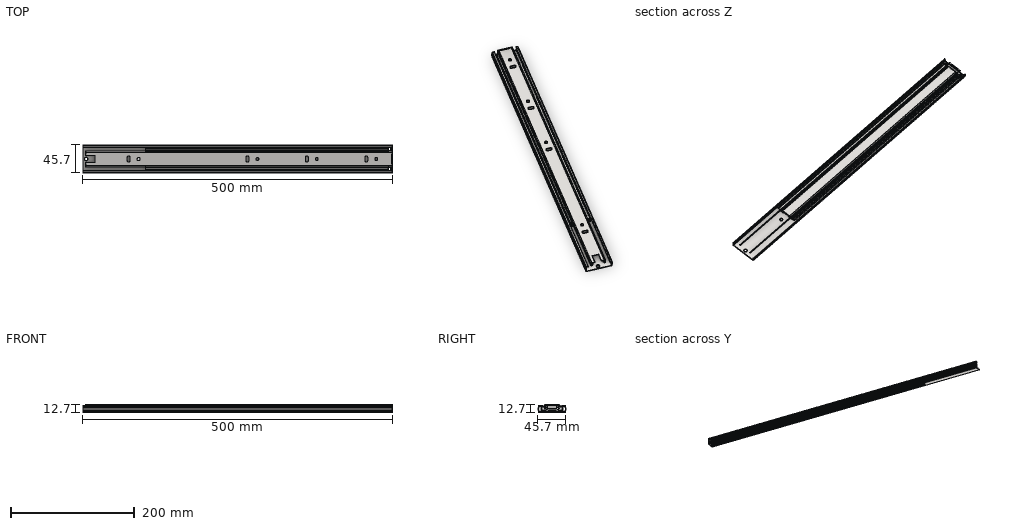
import cadquery as cq

length = 500.0
width = 45.7
height = 12.7

web_thickness = 1.2
rail_wall = 1.0
rail_half_width = 22.1
rail_height = 11.2
lip_corner_radius = 1.5
lip_inner_y = 18.3
bulge_bottom = 3.8
bulge_top = 7.2
bulge_slope = 0.5
bulge_half_width = width / 2

window_start = 492.0
window_end = 497.3
window_inner_y = 13.8
window_outer_y = lip_inner_y

middle_start = 101.5
middle_end = 493.5
middle_half_width = 18.0
middle_wall = 1.6
middle_top = 11.2
middle_lip_y = 13.3
middle_lip_top = 10.0
middle_lip_thickness = 1.0
channel_rim = 4.2
channel_foot_y = 13.4
channel_ledge = 2.8
race_y = 11.3
race_half_width = 1.2
race_bottom = 2.8
middle_web_top = 6.0
middle_web_bottom = 3.4
middle_web_half_width = 7.5
hollow_top_half_width = 5.4
hollow_bottom_half_width = 6.8

inner_start = 4.7
inner_end = length
plate_thickness = 1.2
plate_half_width = 12.4
shoulder_radius = 2.0
inner_half_width = 12.7
shoulder_z = 10.4
groove_z = 8.7
groove_half_width = 10.4
knee_z = 7.0
foot_z = 5.4
foot_half_width = 11.0
leg_thickness = 2.0
stop_half_width = 7.5
stop_bottom = 6.2

hole_diameter = 4.6
first_slot_x = 74.0
slot_pitch = 96.0
slot_steps = [0, 2, 3, 4]
slot_xs = [first_slot_x + step * slot_pitch for step in slot_steps]
slot_to_hole = 16.0
hole_points = [(x + slot_to_hole, 0) for x in slot_xs]
slot_width = 4.6
slot_length = 9.8
end_hole_x = 5.5
end_hole_diameter = 5.2
notch_length = 14.7
notch_width = 11.0


def extrude_mirrored(half_outline, start, end):
    """Extrude along X the section made of a half outline at +Y and its mirror image."""
    mirror_image = [(-y, z) for y, z in reversed(half_outline)]
    section = cq.Workplane("YZ", origin=(start, 0, 0)).polyline(half_outline + mirror_image).close()
    return section.extrude(end - start)


def round_long_corners(rail, corner_y, corner_z, radius):
    """Round the two edges that run along X at +corner_y and -corner_y."""
    for y in (corner_y, -corner_y):
        corner = cq.selectors.NearestToPointSelector((length / 2, y, corner_z))
        rail = rail.edges("|X").edges(corner).fillet(radius)
    return rail


def make_outer_rail():
    wall_inner_y = rail_half_width - rail_wall
    bulge_inner_y = bulge_half_width - rail_wall
    lip_bottom = rail_height - web_thickness
    half_outline = [
        (rail_half_width, 0),
        (rail_half_width, bulge_bottom - bulge_slope),
        (bulge_half_width, bulge_bottom),
        (bulge_half_width, bulge_top),
        (rail_half_width, bulge_top + bulge_slope),
        (rail_half_width, rail_height),
        (lip_inner_y, rail_height),
        (lip_inner_y, lip_bottom),
        (wall_inner_y, lip_bottom),
        (wall_inner_y, bulge_top + bulge_slope),
        (bulge_inner_y, bulge_top),
        (bulge_inner_y, bulge_bottom),
        (wall_inner_y, bulge_bottom - bulge_slope),
        (wall_inner_y, web_thickness),
    ]
    rail = extrude_mirrored(half_outline, 0, length)
    rail = round_long_corners(rail, rail_half_width, rail_height, lip_corner_radius)

    screw_holes = (
        cq.Workplane("XY")
        .pushPoints(hole_points)
        .circle(hole_diameter / 2)
        .extrude(web_thickness)
    )
    end_hole = (
        cq.Workplane("XY")
        .center(end_hole_x, 0)
        .circle(end_hole_diameter / 2)
        .extrude(web_thickness)
    )
    window_x = (window_start + window_end) / 2
    window_y = (window_inner_y + window_outer_y) / 2
    windows = (
        cq.Workplane("XY")
        .pushPoints([(window_x, window_y), (window_x, -window_y)])
        .rect(window_end - window_start, window_outer_y - window_inner_y)
        .extrude(web_thickness)
    )
    return rail.cut(screw_holes).cut(end_hole).cut(windows)


def make_middle_rail():
    wall_inner_y = middle_half_width - middle_wall
    lip_bottom = middle_lip_top - middle_lip_thickness
    half_outline = [
        (hollow_top_half_width, middle_web_bottom),
        (hollow_bottom_half_width, web_thickness),
        (channel_foot_y, web_thickness),
        (channel_foot_y, channel_ledge),
        (middle_half_width, channel_ledge),
        (middle_half_width, middle_top),
        (wall_inner_y, middle_top),
        (middle_lip_y, middle_lip_top),
        (middle_lip_y, lip_bottom),
        (wall_inner_y, lip_bottom),
        (wall_inner_y, channel_rim),
        (race_y - race_half_width, channel_rim),
        (middle_web_half_width, middle_web_top),
    ]
    rail = extrude_mirrored(half_outline, middle_start, middle_end)

    for y in (race_y, -race_y):
        race = (
            cq.Workplane("YZ", origin=(middle_start, 0, 0))
            .moveTo(y - race_half_width, channel_rim)
            .threePointArc((y, race_bottom), (y + race_half_width, channel_rim))
            .close()
            .extrude(middle_end - middle_start)
        )
        rail = rail.cut(race)
    return rail


def make_inner_rail():
    plate_bottom = height - plate_thickness
    half_outline = [
        (plate_half_width, height),
        (inner_half_width, shoulder_z),
        (groove_half_width, groove_z),
        (inner_half_width, knee_z),
        (foot_half_width, foot_z),
        (foot_half_width - leg_thickness / 2, foot_z + leg_thickness / 2),
        (inner_half_width - leg_thickness, knee_z),
        (groove_half_width - leg_thickness, groove_z),
        (inner_half_width - leg_thickness, shoulder_z),
        (plate_half_width - leg_thickness, plate_bottom),
    ]
    rail = extrude_mirrored(half_outline, inner_start, inner_end)
    rail = round_long_corners(rail, plate_half_width, height, shoulder_radius)

    stop_tab = (
        cq.Workplane("XY", origin=(inner_end - plate_thickness / 2, 0, stop_bottom))
        .rect(plate_thickness, 2 * stop_half_width)
        .extrude(height - stop_bottom)
    )
    rail = rail.union(stop_tab)

    plate = cq.Workplane("XY", origin=(0, 0, plate_bottom))
    slots = (
        plate.pushPoints([(x, 0) for x in slot_xs])
        .slot2D(slot_length, slot_width, 90)
        .extrude(plate_thickness)
    )
    holes = plate.pushPoints(hole_points).circle(hole_diameter / 2).extrude(plate_thickness)
    notch = (
        plate.center(inner_start + notch_length / 2, 0)
        .rect(notch_length, notch_width)
        .extrude(plate_thickness)
    )
    return rail.cut(slots).cut(holes).cut(notch)


outer_rail = make_outer_rail()
middle_rail = make_middle_rail()
inner_rail = make_inner_rail()

result = cq.Compound.makeCompound([outer_rail.val(), middle_rail.val(), inner_rail.val()])